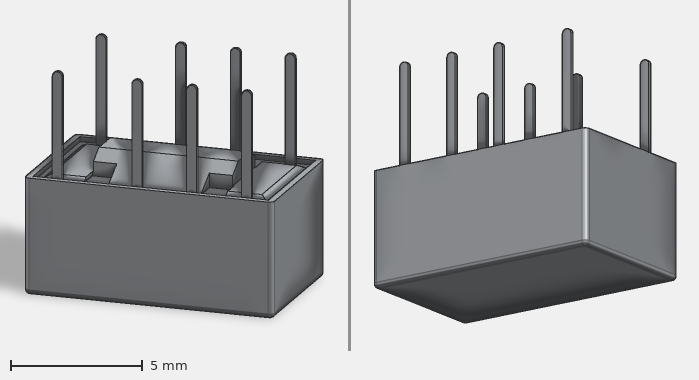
import cadquery as cq
import math

case_length = 10.0
case_width = 6.0
case_height = 4.64
case_rounding = 0.2
rim_thickness = 0.27
recess_depth = 0.2
floor_z = case_height - recess_depth

raised_length = 9.0
raised_width = 4.6
slope = math.tan(math.radians(30))

ridge_length = 5.6
ridge_top_width = 1.3
ridge_height = (raised_width - ridge_top_width) / 2 * slope

plateau_bevel_run = 0.28
plateau_height = plateau_bevel_run * slope

notch_inner_x = 1.86
notch_outer_x = 2.84
notch_inner_y = 1.31

total_height = 8.85
pin_width = 0.4
pin_thickness = 0.15
pin_row_y = 2.54
pin_columns_x = (-3.8, -0.6, 1.6, 3.8)


def make_case():
    case = cq.Workplane("XY").box(case_length, case_width, case_height, centered=(True, True, False))
    case = case.edges("|Z").fillet(case_rounding)
    case = case.faces("<Z").edges().fillet(case_rounding)
    recess = (
        cq.Workplane("XY", origin=(0, 0, floor_z))
        .rect(case_length - 2 * rim_thickness, case_width - 2 * rim_thickness)
        .extrude(recess_depth)
    )
    return case.cut(recess)


def make_ridge():
    return (
        cq.Workplane("YZ", origin=(-ridge_length / 2, 0, floor_z))
        .moveTo(-raised_width / 2, 0)
        .lineTo(raised_width / 2, 0)
        .lineTo(ridge_top_width / 2, ridge_height)
        .lineTo(-ridge_top_width / 2, ridge_height)
        .close()
        .extrude(ridge_length)
    )


def make_plateau():
    return (
        cq.Workplane("XY", origin=(0, 0, floor_z))
        .rect(raised_length, raised_width)
        .workplane(offset=plateau_height)
        .rect(raised_length - 2 * plateau_bevel_run, raised_width - 2 * plateau_bevel_run)
        .loft(ruled=True)
    )


def make_notches():
    """Four blocks that cut the ridge corners and plateau edges down to the recess floor."""
    notch_length = notch_outer_x - notch_inner_x
    notch_width = raised_width / 2 - notch_inner_y
    return (
        cq.Workplane("XY", origin=(0, 0, floor_z))
        .rect(notch_outer_x + notch_inner_x, raised_width / 2 + notch_inner_y, forConstruction=True)
        .vertices()
        .rect(notch_length, notch_width)
        .extrude(ridge_height)
    )


def make_pin(x, y):
    """Flat pin with a fully rounded tip, standing on the recess floor."""
    tip_radius = pin_width / 2
    return (
        cq.Workplane("XZ", origin=(x, y, 0))
        .moveTo(-tip_radius, floor_z)
        .lineTo(tip_radius, floor_z)
        .lineTo(tip_radius, total_height - tip_radius)
        .threePointArc((0, total_height), (-tip_radius, total_height - tip_radius))
        .close()
        .extrude(pin_thickness / 2, both=True)
    )


raised_shapes = make_ridge().union(make_plateau()).cut(make_notches())
result = make_case().union(raised_shapes)
for column_x in pin_columns_x:
    for row_y in (-pin_row_y, pin_row_y):
        result = result.union(make_pin(column_x, row_y))